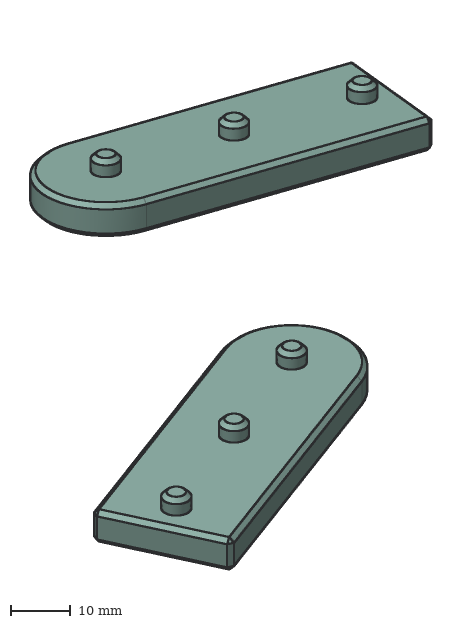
import cadquery as cq

length = 69.85
width = 25.4
plate_thickness = 6.35
total_height = 9.5
edge_chamfer = 0.9
pin_diameter = 5.1
pin_count = 3

end_radius = width / 2
straight_length = length - end_radius
pin_pitch = width
pin_height = total_height - plate_thickness


def make_plate():
    """Plate with a rounded -Y end and a square +Y end, chamfered on all outer edges."""
    return (
        cq.Workplane("XY")
        .moveTo(-end_radius, 0)
        .lineTo(-end_radius, straight_length)
        .lineTo(end_radius, straight_length)
        .lineTo(end_radius, 0)
        .threePointArc((0, -end_radius), (-end_radius, 0))
        .close()
        .extrude(plate_thickness)
        .edges("<Z or >Z or (|Z and >Y)")
        .chamfer(edge_chamfer)
    )


def make_pin(y):
    """Locating pin on the plate's top face, with a chamfered tip."""
    return (
        cq.Workplane("XY", origin=(0, y, plate_thickness))
        .circle(pin_diameter / 2)
        .extrude(pin_height)
        .faces(">Z")
        .edges()
        .chamfer(edge_chamfer)
    )


result = make_plate()
for index in range(pin_count):
    result = result.union(make_pin(index * pin_pitch))